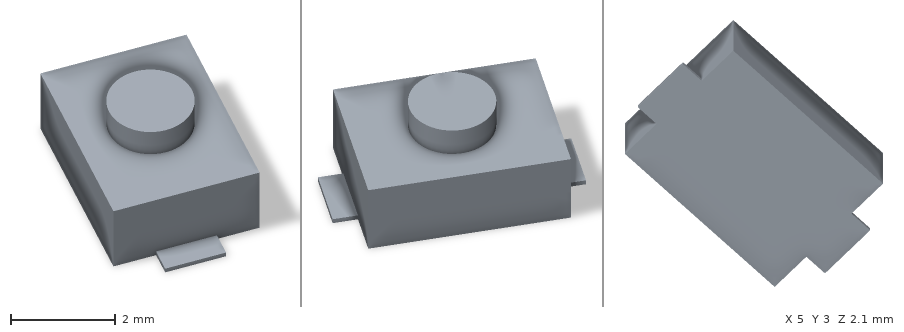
import cadquery as cq

body_length = 4.0
body_width = 3.0
housing_height = 1.4

cover_thickness = 0.1
cover_top = housing_height + cover_thickness

button_diameter = 1.7
overall_height = 2.1
button_height = overall_height - cover_top
button_offset_y = 0.01

overall_length = 5.0
terminal_length = (overall_length - body_length) / 2
terminal_width = 1.25
terminal_thickness = 0.1


def plate(length, width, height, bottom):
    """Box centred on the Z axis, with its underside at Z = bottom."""
    return cq.Workplane("XY").workplane(offset=bottom).box(
        length, width, height, centered=(True, True, False)
    )


def make_housing():
    return plate(body_length, body_width, housing_height, 0)


def make_cover():
    return plate(body_length, body_width, cover_thickness, housing_height)


def make_button():
    return (
        cq.Workplane("XY")
        .workplane(offset=cover_top)
        .center(0, button_offset_y)
        .circle(button_diameter / 2)
        .extrude(button_height)
    )


def make_terminal(side):
    """Terminal butting against the housing end; side is -1 or +1 along X."""
    centre_x = side * (body_length + terminal_length) / 2
    terminal = plate(terminal_length, terminal_width, terminal_thickness, 0)
    return terminal.translate((centre_x, 0, 0))


housing = make_housing()
cover = make_cover()
button = make_button()
terminals = [make_terminal(side) for side in (-1, 1)]

result = cq.Compound.makeCompound(
    [housing.val(), cover.val(), button.val(), *[terminal.val() for terminal in terminals]]
)